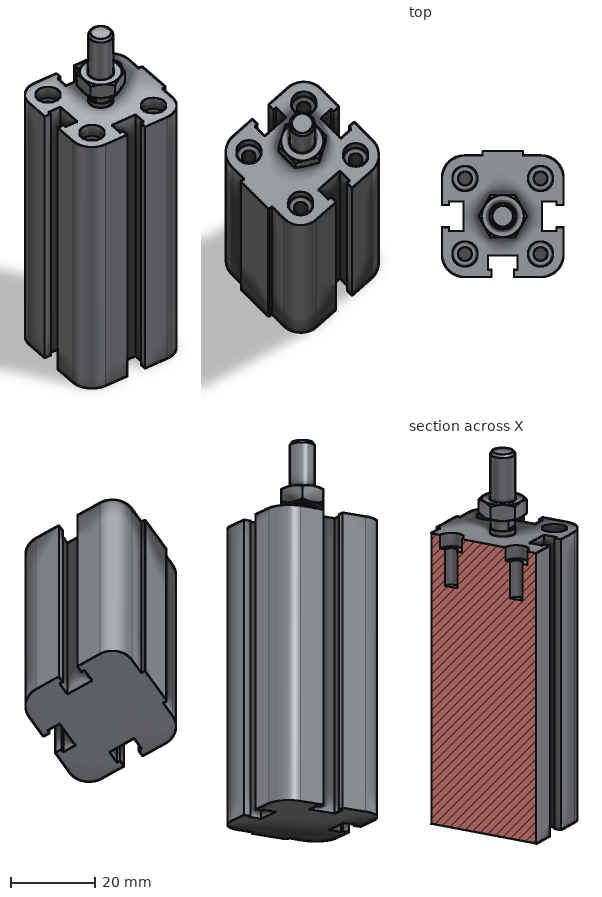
import cadquery as cq
import math

housing_width = 29.0
housing_height = 73.0
screw_spacing = 17.95
corner_radius = (housing_width - screw_spacing) / 2
half_width = housing_width / 2

rib_width = 9.7
rib_height = 1.0
rib_chamfer = 0.2

slot_opening = 5.2
slot_inner_width = 6.9
slot_lip = 1.8
slot_depth = 5.1

screw_head_diameter = 6.0
screw_head_depth = 3.4
screw_hole_diameter = 3.3
screw_hole_depth = 12.5

rod_diameter = 6.0
rod_top = 93.5
rod_tip_diameter = 5.0
rod_tip_height = 0.75
neck_diameter = 5.8
neck_bottom = 74.3
neck_top = 77.3
flat_spacing = 5.0
flat_bottom = 74.8

nut_across_flats = 10.0
nut_bottom = 77.6
nut_height = 4.0
nut_face_diameter = 10.0
nut_chamfer_angle = 30.0
nut_countersink_diameter = 6.4


def t_slot():
    """Cutter for the T-slot in the -Y face, over the full housing height."""
    opening = cq.Workplane("XY").box(slot_opening, slot_depth, housing_height, centered=(True, False, False))
    inner = (
        cq.Workplane("XY")
        .box(slot_inner_width, slot_depth - slot_lip, housing_height, centered=(True, False, False))
        .translate((0, slot_lip, 0))
    )
    return opening.union(inner).translate((0, -half_width, 0))


def make_housing():
    block = (
        cq.Workplane("XY")
        .box(housing_width, housing_width, housing_height, centered=(True, True, False))
        .edges("|Z")
        .fillet(corner_radius)
    )
    rib = (
        cq.Workplane("XY")
        .box(rib_width, half_width + rib_height, housing_height, centered=(True, False, False))
        .edges("|Z and >Y")
        .chamfer(rib_chamfer)
    )
    housing = block.union(rib)
    for angle in (-90, 0, 90):
        housing = housing.cut(t_slot().rotate((0, 0, 0), (0, 0, 1), angle))
    return (
        housing.faces(">Z")
        .workplane(origin=(0, 0, housing_height))
        .rect(screw_spacing, screw_spacing, forConstruction=True)
        .vertices()
        .cboreHole(screw_hole_diameter, screw_head_diameter, screw_head_depth, screw_hole_depth)
    )


def rod_section(diameter, bottom, top):
    return cq.Workplane("XY", origin=(0, 0, bottom)).circle(diameter / 2).extrude(top - bottom)


def make_rod():
    collar = rod_section(rod_diameter, housing_height, neck_bottom)
    neck = rod_section(neck_diameter, neck_bottom, neck_top)
    tip_inset = (rod_diameter - rod_tip_diameter) / 2
    shank = rod_section(rod_diameter, neck_top, rod_top).faces(">Z").chamfer(rod_tip_height, tip_inset)
    rod = collar.union(neck).union(shank)
    for side in (-1, 1):
        flat_cutter = (
            cq.Workplane("XY", origin=(0, side * (flat_spacing + rod_diameter) / 2, flat_bottom))
            .box(rod_diameter, rod_diameter, nut_bottom - flat_bottom, centered=(True, True, False))
        )
        rod = rod.cut(flat_cutter)
    return rod


def make_nut():
    across_corners = nut_across_flats / math.cos(math.pi / 6)
    corner_reach = across_corners / 2
    face_radius = nut_face_diameter / 2
    chamfer_drop = (corner_reach - face_radius) * math.tan(math.radians(nut_chamfer_angle))
    prism = cq.Workplane("XY").polygon(6, across_corners).extrude(nut_height)
    bore_radius = rod_diameter / 2
    countersink_radius = nut_countersink_diameter / 2
    countersink_depth = countersink_radius - bore_radius
    turned_blank = (
        cq.Workplane("XZ")
        .polyline([
            (bore_radius, countersink_depth),
            (countersink_radius, 0),
            (face_radius, 0),
            (corner_reach, chamfer_drop),
            (corner_reach, nut_height - chamfer_drop),
            (face_radius, nut_height),
            (countersink_radius, nut_height),
            (bore_radius, nut_height - countersink_depth),
        ])
        .close()
        .revolve(360, (0, 0, 0), (0, 1, 0))
    )
    return prism.intersect(turned_blank).translate((0, 0, nut_bottom))


housing = make_housing()
rod = make_rod()
nut = make_nut()

result = cq.Compound.makeCompound([housing.val(), rod.val(), nut.val()])